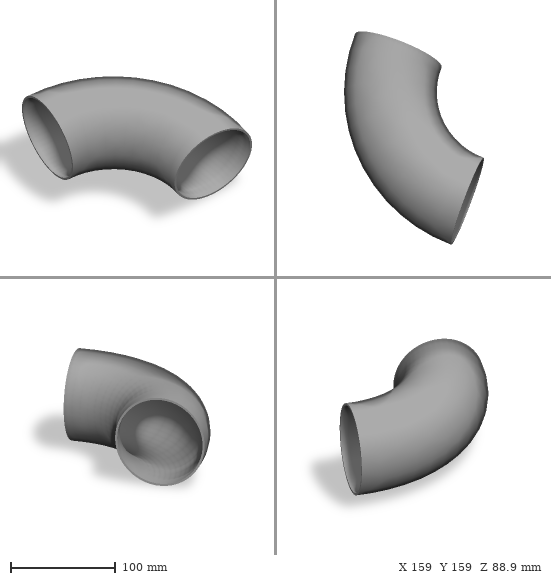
import cadquery as cq

overall_length = 159.0
outer_diameter = 88.9
wall_thickness = 2.0
bend_angle = 90.0

outer_radius = outer_diameter / 2
inner_radius = outer_radius - wall_thickness
bend_radius = overall_length - outer_radius

ring = cq.Workplane("XZ").circle(outer_radius).circle(inner_radius)

result = ring.revolve(
    bend_angle,
    axisStart=(bend_radius, 0, 0),
    axisEnd=(bend_radius, -1, 0),
)